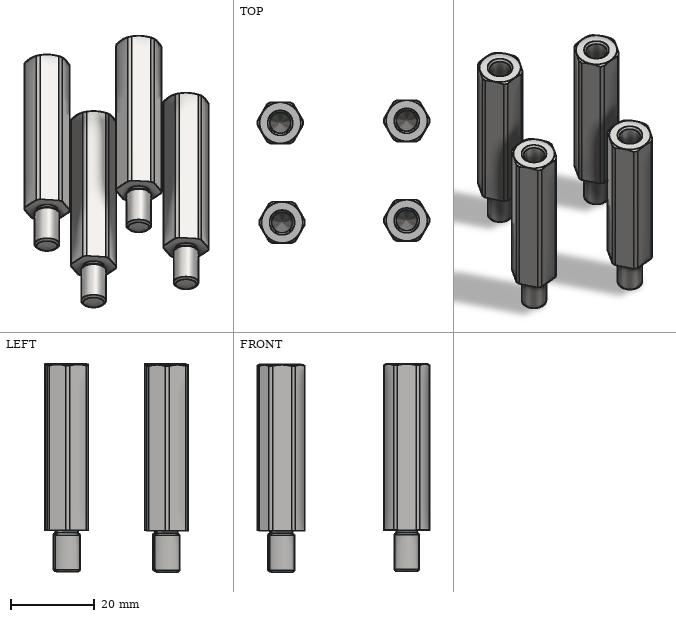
import cadquery as cq
import math

hexagon_sides = 6
across_flats = 10.0
across_corners = 11.0
column_height = 40.0
top_face_dia = 9.9
top_chamfer_angle = 30.0

stud_dia = 6.0
stud_length = 10.0
neck_dia = 5.0
neck_height = 0.6
stud_cone_height = (stud_dia - neck_dia) / 2
tip_chamfer = 0.5

hole_dia = 5.0
hole_depth = 10.05
hole_mouth_dia = 6.0
drill_point_angle = 90.0

column_spacing_x = 30.0
row_spacing = 24.0
back_left_shift_x = -0.45
right_shift_y = 0.5
right_lift = 0.2
back_left_lift = 0.1
placements = [
    (0, 0, 0),
    (column_spacing_x, right_shift_y, right_lift),
    (back_left_shift_x, row_spacing, back_left_lift),
    (column_spacing_x, row_spacing + right_shift_y, right_lift),
]


def revolve_profile(points):
    """Solid of revolution about Z from (radius, height) points."""
    return cq.Workplane("XZ").polyline(points).close().revolve(360, (0, 0), (0, 1))


def make_column():
    """Hexagon with turned corners and a conical chamfer around its top face."""
    hexagon_dia = across_flats / math.cos(math.pi / hexagon_sides)
    hexagon = (
        cq.Workplane("XY")
        .workplane(offset=stud_length)
        .polygon(hexagon_sides, hexagon_dia)
        .extrude(column_height)
    )
    top = stud_length + column_height
    corner_radius = across_corners / 2
    top_radius = top_face_dia / 2
    chamfer_height = (corner_radius - top_radius) * math.tan(math.radians(top_chamfer_angle))
    turned_envelope = revolve_profile([
        (0, stud_length),
        (corner_radius, stud_length),
        (corner_radius, top - chamfer_height),
        (top_radius, top),
        (0, top),
    ])
    return hexagon.intersect(turned_envelope)


def make_stud():
    """Round stud with a chamfered tip and a narrower neck under the column."""
    stud_radius = stud_dia / 2
    neck_radius = neck_dia / 2
    neck_bottom = stud_length - neck_height
    return revolve_profile([
        (0, 0),
        (stud_radius - tip_chamfer, 0),
        (stud_radius, tip_chamfer),
        (stud_radius, neck_bottom - stud_cone_height),
        (neck_radius, neck_bottom),
        (neck_radius, stud_length),
        (0, stud_length),
    ])


def make_hole():
    """Drilled hole with a 45 degree mouth and a conical bottom."""
    top = stud_length + column_height
    hole_radius = hole_dia / 2
    mouth_radius = hole_mouth_dia / 2
    hole_bottom = top - hole_depth
    point_depth = hole_radius / math.tan(math.radians(drill_point_angle / 2))
    return revolve_profile([
        (0, hole_bottom - point_depth),
        (hole_radius, hole_bottom),
        (hole_radius, top - (mouth_radius - hole_radius)),
        (mouth_radius, top),
        (0, top),
    ])


def make_standoff():
    """One standoff with its stud tip at the origin, column upward."""
    return make_column().union(make_stud()).cut(make_hole())


standoff = make_standoff()
standoffs = [standoff.translate(place).val() for place in placements]

result = cq.Compound.makeCompound(standoffs)